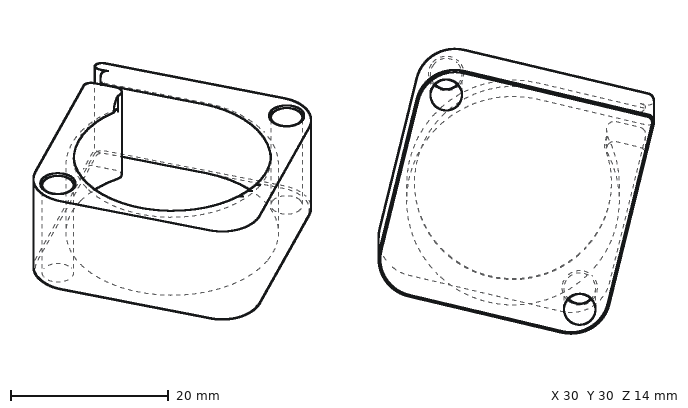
import cadquery as cq
import math

side = 30.0
height = 14.0
half = side / 2
corner_radius = 5.0
bottom_chamfer = 0.25

wall = 1.5
floor = 1.0
cavity_radius = half - wall
slot_width = 3.0
slot_edge_y = cavity_radius - slot_width

edge_radius = 1.0

lip_depth = 1.0
lip_face_height = 0.5
lip_end_x = -half + 2 * lip_depth

hole_diameter = 4.0
hole_chamfer = 0.25
hole_offset = 11.5

tip_center_y = slot_edge_y - edge_radius
tip_center_x = -math.sqrt((cavity_radius + edge_radius) ** 2 - tip_center_y**2)
tangent_ratio = cavity_radius / (cavity_radius + edge_radius)
tip_tangent_x = tip_center_x * tangent_ratio
tip_tangent_y = tip_center_y * tangent_ratio
sin_45 = math.sqrt(0.5)


def make_body():
    body = cq.Workplane("XY").box(side, side, height, centered=(True, True, False))
    body = body.edges("|Z").edges(">X or <Y").fillet(corner_radius)
    body = body.edges("|Z").edges("<X and >Y").fillet(edge_radius)
    return body.faces("<Z").chamfer(bottom_chamfer)


def make_cavity():
    """Cavity and slot as one outline, including all rounded mouth edges."""
    start_angle = math.pi / 2
    end_angle = math.atan2(-tip_center_y, -tip_center_x)
    middle_angle = (start_angle + end_angle) / 2
    tip_middle = (
        tip_center_x + edge_radius * math.cos(middle_angle),
        tip_center_y + edge_radius * math.sin(middle_angle),
    )
    wall_round_y = cavity_radius + edge_radius
    wall_start_y = half - edge_radius
    wall_start_angle = math.asin((wall_round_y - wall_start_y) / edge_radius)
    wall_end_x = -half + edge_radius * math.cos(wall_start_angle)
    wall_middle_angle = (wall_start_angle + math.pi / 2) / 2
    mouth_top = (
        wall_end_x - edge_radius * math.cos(wall_middle_angle),
        wall_round_y - edge_radius * math.sin(wall_middle_angle),
    )
    mouth_bottom = (-half + edge_radius * (1 - sin_45), slot_edge_y - edge_radius * (1 - sin_45))
    return (
        cq.Workplane("XY", origin=(0, 0, floor))
        .moveTo(-half, wall_start_y)
        .threePointArc(mouth_top, (wall_end_x, cavity_radius))
        .lineTo(0, cavity_radius)
        .threePointArc((cavity_radius * sin_45, -cavity_radius * sin_45), (tip_tangent_x, tip_tangent_y))
        .threePointArc(tip_middle, (tip_center_x, slot_edge_y))
        .lineTo(-half + edge_radius, slot_edge_y)
        .threePointArc(mouth_bottom, (-half, tip_center_y))
        .close()
        .extrude(height - floor)
    )


def lip_profile(origin_x):
    """Lip section in the YZ plane, standing off the +Y cavity wall."""
    face = cavity_radius - lip_depth
    round_z = height - lip_depth
    under_z = round_z - lip_face_height
    round_middle = (cavity_radius - lip_depth * sin_45, round_z + lip_depth * sin_45)
    fillet_middle = (face + lip_depth * sin_45, under_z - lip_depth * (1 - sin_45))
    return (
        cq.Workplane("YZ", origin=(origin_x, 0, 0))
        .moveTo(cavity_radius, height)
        .threePointArc(round_middle, (face, round_z))
        .lineTo(face, under_z)
        .threePointArc(fillet_middle, (cavity_radius, under_z - lip_depth))
        .close()
    )


def make_lip():
    straight = lip_profile(-half + lip_depth).extrude(half - lip_depth)
    rounded_end = (
        cq.Workplane("XZ", origin=(lip_end_x, cavity_radius, 0))
        .lineTo(lip_depth, 0)
        .lineTo(lip_depth, height - lip_depth)
        .threePointArc((lip_depth * sin_45, height - lip_depth * (1 - sin_45)), (0, height))
        .close()
        .revolve(360, (0, 0), (0, 1))
    )
    blank_end = cq.Workplane("XY", origin=(-half, 0, 0)).box(lip_end_x + half, half, height, centered=False)
    straight = straight.cut(blank_end.cut(rounded_end))
    ring = lip_profile(0).revolve(360, (0, 0), (0, 1))
    opening = cq.Workplane("XY", origin=(-half, 0, 0)).box(half, half, height, centered=False)
    tongue_side = cq.Workplane("XY", origin=(-half, 0, 0)).box(
        half + tip_tangent_x, tip_tangent_y, height, centered=False
    )
    return ring.cut(opening.cut(tongue_side)).union(straight)


def make_hole(x, y):
    drill = cq.Workplane("XY").center(x, y).circle(hole_diameter / 2).extrude(height)
    rim = (
        cq.Workplane("XY", origin=(x, y, height))
        .circle(hole_diameter / 2 + hole_chamfer)
        .workplane(offset=-hole_chamfer)
        .circle(hole_diameter / 2)
        .loft()
    )
    return drill.union(rim)


result = make_body().cut(make_cavity()).union(make_lip())
for direction in (-1, 1):
    result = result.cut(make_hole(direction * hole_offset, direction * hole_offset))